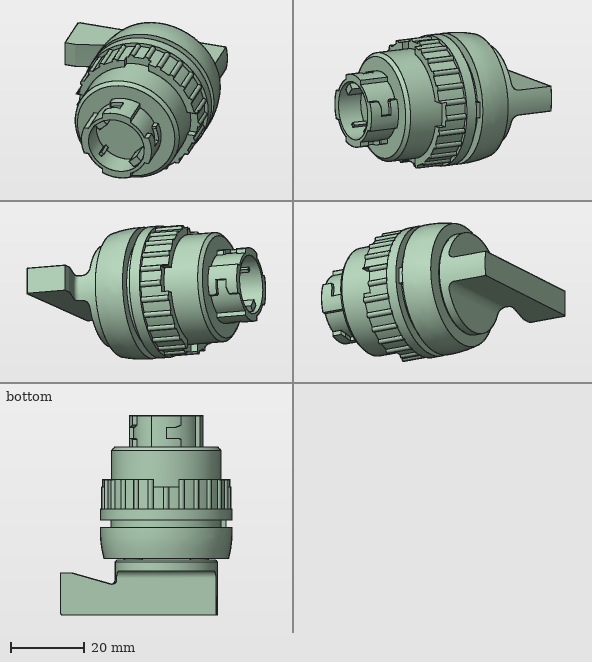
import cadquery as cq
import math


NECK_FRONT = 0.0
BODY_FRONT = 8.5
RING_FRONT = 17.5
NOTCH_FLOOR = 19.45
FLANGE_FRONT = 25.5
FLANGE_BACK = 28.5
BEZEL_FRONT = 30.5
BEZEL_RIM_END = 31.5
BEZEL_BACK = 39.0
DISC_FRONT = 39.4
DISC_BACK = 42.4
LEVER_BACK = 54.5

BEZEL_RADIUS = 36.0 / 2
BEZEL_BACK_RADIUS = 17.05
GROOVE_RADIUS = 30.3 / 2
BODY_RADIUS = 30.0 / 2
DISC_RADIUS = 28.0 / 2
BORE_RADIUS = 16.0 / 2
NECK_RADIUS = 18.0 / 2
LUG_RADIUS = 20.15 / 2
RING_RADIUS = 17.0

BODY_CHAMFER = 1.0
DISC_CHAMFER = 0.55

KEY_REACH = 16.35
KEY_WIDTH = 4.35

RIB_COUNT = 25
RIB_RADIUS = 0.75
RIB_TIP_RADIUS = 17.7
NOTCH_WIDTH = 7.0

LUG_WIDTH = 8.0
SLOT_FRONT = 3.2
SLOT_BACK = 6.2
SLOT_LIP_RADIUS = 0.3
SLOT_FLARE_LENGTH = 1.45
SLOT_FLARE_DEPTH = 0.6

BORE_DEPTH = 7.0
WIDE_BLOCK_FRONT = 1.45
WIDE_BLOCK_WIDTH = 3.0
WIDE_BLOCK_INNER = 6.0
NARROW_BLOCK_FRONT = 3.0
NARROW_BLOCK_WIDTH = 1.0
NARROW_BLOCK_INNER = 7.0

PIN_RADIUS = 5.0 / 2
PIN_OFFSET = 9.0

LEVER_WIDTH = 7.0
LEVER_TIP_X = -28.95
LEVER_FRONT = 42.95
RELIEF_RADIUS = 26.0
RELIEF_SLOPE = 16.0
RELIEF_FILLET = 1.1
WEB_FILLET = 2.0
LEVER_EDGE_CHAMFER = 0.5


def cylinder(radius, start, end, x=0.0, z=0.0):
    """Cylinder parallel to Y between two stations."""
    return cq.Workplane("XZ", origin=(x, start, z)).circle(radius).extrude(start - end)


def block(x_start, x_end, y_start, y_end, z_width):
    """Block centred on Z = 0."""
    size = (x_end - x_start, y_end - y_start, z_width)
    return cq.Workplane("XY").box(*size, centered=(False, False, True)).translate((x_start, y_start, 0))


def turned(shape, angle):
    """Shape turned about the Y axis, from +X towards +Z."""
    return shape.rotate((0, 0, 0), (0, 1, 0), -angle)


def make_barrel():
    """Revolved body, flange, groove and crowned bezel."""
    crown_length = BEZEL_BACK - BEZEL_RIM_END
    crown_drop = BEZEL_RADIUS - BEZEL_BACK_RADIUS
    profile = (
        cq.Workplane("XY")
        .moveTo(0, BODY_FRONT)
        .lineTo(BODY_RADIUS - BODY_CHAMFER, BODY_FRONT)
        .lineTo(BODY_RADIUS, BODY_FRONT + BODY_CHAMFER)
        .lineTo(BODY_RADIUS, FLANGE_FRONT)
        .lineTo(BEZEL_RADIUS, FLANGE_FRONT)
        .lineTo(BEZEL_RADIUS, FLANGE_BACK)
        .lineTo(GROOVE_RADIUS, FLANGE_BACK)
        .lineTo(GROOVE_RADIUS, BEZEL_FRONT)
        .lineTo(BEZEL_RADIUS, BEZEL_FRONT)
        .lineTo(BEZEL_RADIUS, BEZEL_RIM_END)
        .tangentArcPoint((-crown_drop, crown_length))
        .lineTo(0, BEZEL_BACK)
        .close()
    )
    key = block(0, KEY_REACH, FLANGE_BACK, BEZEL_FRONT, KEY_WIDTH)
    return profile.revolve(360, (0, 0, 0), (0, 1, 0)).union(key)


def make_grip_ring():
    """Ribbed ring in front of the flange with four notches in its front edge."""
    ring = cylinder(RING_RADIUS, RING_FRONT, FLANGE_FRONT)
    rib_circle = RIB_TIP_RADIUS - RIB_RADIUS
    for index in range(RIB_COUNT):
        angle = math.radians(-90 + index * 360 / RIB_COUNT)
        rib = cylinder(
            RIB_RADIUS, RING_FRONT, FLANGE_FRONT, rib_circle * math.cos(angle), rib_circle * math.sin(angle)
        )
        ring = ring.union(rib)
    notch_bar = block(-BEZEL_RADIUS, BEZEL_RADIUS, RING_FRONT, NOTCH_FLOOR, NOTCH_WIDTH)
    return ring.cut(notch_bar).cut(turned(notch_bar, 90))


def make_lug():
    """Lug on the +Z side of the neck with a bayonet slot in its -X half."""
    lug = cylinder(LUG_RADIUS, NECK_FRONT, BODY_FRONT).intersect(
        cq.Workplane("XY")
        .box(LUG_WIDTH, BODY_FRONT, LUG_RADIUS, centered=(True, False, False))
        .translate((0, NECK_FRONT, 0))
    )
    edge = -LUG_WIDTH / 2
    slot = (
        cq.Workplane("XY")
        .moveTo(0, SLOT_FRONT)
        .lineTo(0, SLOT_BACK)
        .lineTo(edge + SLOT_LIP_RADIUS, SLOT_BACK)
        .radiusArc((edge, SLOT_BACK + SLOT_LIP_RADIUS), -SLOT_LIP_RADIUS)
        .lineTo(edge, SLOT_FRONT - SLOT_FLARE_DEPTH)
        .lineTo(edge + SLOT_FLARE_LENGTH, SLOT_FRONT)
        .close()
        .extrude(LUG_RADIUS)
    )
    return lug.cut(slot)


def make_neck():
    """Hollow neck with four lugs outside and four blocks inside."""
    neck = cylinder(NECK_RADIUS, NECK_FRONT, BODY_FRONT)
    lug = make_lug()
    for angle in (0, 90, 180, 270):
        neck = neck.union(turned(lug, angle))
    bore_end = NECK_FRONT + BORE_DEPTH
    neck = neck.cut(cylinder(BORE_RADIUS, NECK_FRONT, bore_end))
    wall_middle = (BORE_RADIUS + NECK_RADIUS) / 2
    narrow = block(NARROW_BLOCK_INNER, wall_middle, NARROW_BLOCK_FRONT, bore_end, NARROW_BLOCK_WIDTH)
    wide = block(WIDE_BLOCK_INNER, wall_middle, WIDE_BLOCK_FRONT, bore_end, WIDE_BLOCK_WIDTH)
    for angle in (45, 225):
        neck = neck.union(turned(narrow, angle))
        neck = neck.union(turned(wide, angle + 90))
    return neck


def make_finger_relief():
    """Conical space under the finger, filleted into the round web."""
    slope = math.radians(RELIEF_SLOPE)
    fillet_radius_out = DISC_RADIUS + RELIEF_FILLET * (1 + math.sin(slope))
    fillet_top = LEVER_FRONT + (RELIEF_RADIUS - fillet_radius_out) * math.tan(slope)
    fillet_bottom = fillet_top - RELIEF_FILLET * math.cos(slope)
    return (
        cq.Workplane("XY")
        .moveTo(-RELIEF_RADIUS, LEVER_FRONT)
        .lineTo(-fillet_radius_out, fillet_top)
        .radiusArc((-DISC_RADIUS, fillet_bottom), RELIEF_FILLET)
        .lineTo(-DISC_RADIUS, LEVER_FRONT)
        .close()
        .revolve(360, (0, 0, 0), (0, 1, 0))
    )


def make_lever():
    """Disc carrying a lever bar that overhangs on the -X side."""
    disc = cylinder(DISC_RADIUS, DISC_FRONT, DISC_BACK).faces("<Y").chamfer(DISC_CHAMFER)

    half_width = LEVER_WIDTH / 2
    foot_half_width = half_width + WEB_FILLET
    web = (
        cq.Workplane("YZ", origin=(-DISC_RADIUS, 0, 0))
        .moveTo(DISC_BACK, -foot_half_width)
        .radiusArc((DISC_BACK + WEB_FILLET, -half_width), WEB_FILLET)
        .lineTo(LEVER_BACK, -half_width)
        .lineTo(LEVER_BACK, half_width)
        .lineTo(DISC_BACK + WEB_FILLET, half_width)
        .radiusArc((DISC_BACK, foot_half_width), WEB_FILLET)
        .close()
        .extrude(2 * DISC_RADIUS)
        .intersect(cylinder(DISC_RADIUS, DISC_BACK, LEVER_BACK))
    )

    finger = block(LEVER_TIP_X, 0, LEVER_FRONT, LEVER_BACK, LEVER_WIDTH)
    finger = finger.edges("<X and >Y").chamfer(LEVER_EDGE_CHAMFER)
    return disc.union(finger.cut(make_finger_relief())).union(web)


def make_pins():
    """Two pins bridging the gap between bezel and disc."""
    left = cylinder(PIN_RADIUS, BEZEL_BACK, DISC_FRONT, -PIN_OFFSET)
    right = cylinder(PIN_RADIUS, BEZEL_BACK, DISC_FRONT, PIN_OFFSET)
    return left.union(right)


result = (
    make_barrel()
    .union(make_grip_ring())
    .union(make_neck())
    .union(make_pins())
    .union(make_lever())
)